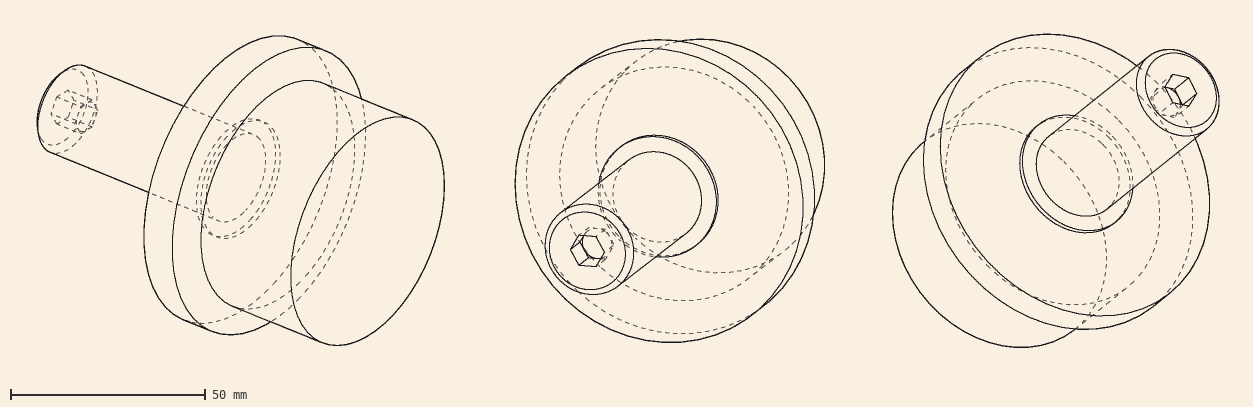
import cadquery as cq
import math

total_length = 102.0
stem_length = 58.0
collar_thickness = 1.5
flange_thickness = 9.5
flange_taper_length = 3.0

stem_diameter = 24.0
collar_diameter = 32.0
flange_diameter = 78.0
roller_diameter = 62.0

stem_chamfer = 1.7

socket_across_flats = 8.0
socket_depth = 8.0
drill_point_angle = 120.0

collar_face_x = -collar_thickness
stem_end_x = collar_face_x - stem_length
flange_rim_x = flange_thickness
taper_end_x = flange_rim_x + flange_taper_length
roller_end_x = stem_end_x + total_length


def revolved_body():
    """Stem, collar, flange and roller as one half profile turned about X."""
    stem_radius = stem_diameter / 2
    collar_radius = collar_diameter / 2
    flange_radius = flange_diameter / 2
    roller_radius = roller_diameter / 2
    profile = [
        (stem_end_x, 0),
        (stem_end_x, stem_radius - stem_chamfer),
        (stem_end_x + stem_chamfer, stem_radius),
        (collar_face_x, stem_radius),
        (collar_face_x, collar_radius),
        (0, collar_radius),
        (0, flange_radius),
        (flange_rim_x, flange_radius),
        (taper_end_x, roller_radius),
        (roller_end_x, roller_radius),
        (roller_end_x, 0),
    ]
    return cq.Workplane("XY").polyline(profile).close().revolve(360, (0, 0, 0), (1, 0, 0))


def hexagon_socket():
    """Hexagonal prism with corners toward +Y and -Y, ending in a drill cone."""
    across_corners = socket_across_flats / math.cos(math.radians(30))
    prism = (
        cq.Workplane("YZ", origin=(stem_end_x, 0, 0))
        .polygon(6, across_corners)
        .extrude(socket_depth)
    )
    drill_radius = socket_across_flats / 2
    cone_height = drill_radius / math.tan(math.radians(drill_point_angle / 2))
    floor_x = stem_end_x + socket_depth
    cone = (
        cq.Workplane("XY")
        .polyline([(floor_x, 0), (floor_x, drill_radius), (floor_x + cone_height, 0)])
        .close()
        .revolve(360, (0, 0, 0), (1, 0, 0))
    )
    return prism.union(cone)


result = revolved_body().cut(hexagon_socket())